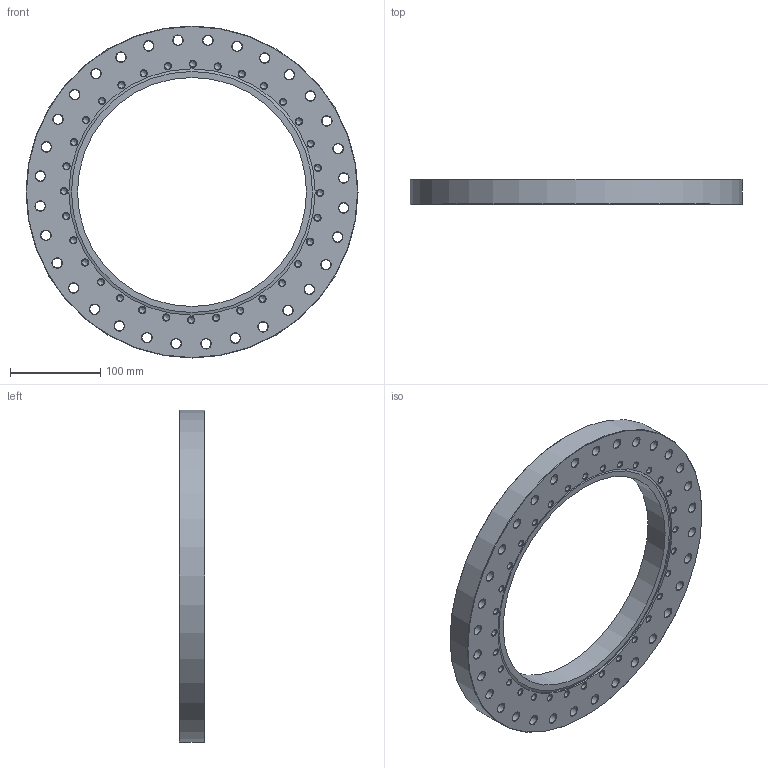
import cadquery as cq
import math

outer_diameter = 368.3
bore_diameter = 254.0
thickness = 28.0
front_y = -thickness / 2
edge_chamfer = 0.5

recess_diameter = 273.2
land_diameter = 267.3
recess_depth = 2.2
land_depth = 1.2

hole_count = 32
hole_pitch = 360.0 / hole_count
hole_offset = -0.35

bolt_circle_diameter = 338.2
bolt_hole_diameter = 10.8
bolt_hole_chamfer = 0.4
tapped_circle_diameter = 284.2
tapped_hole_diameter = 6.8
tapped_hole_chamfer = 0.6
tapped_hole_depth = 16.0
drill_point_angle = 118.0


def ring_body():
    """Revolve the half section, drawn with radius along Z, about the Y axis."""
    bore_radius = bore_diameter / 2
    land_radius = land_diameter / 2
    recess_radius = recess_diameter / 2
    outer_radius = outer_diameter / 2
    back_y = front_y + thickness
    section = (
        cq.Workplane("YZ")
        .moveTo(front_y + land_depth, bore_radius)
        .lineTo(front_y + land_depth, land_radius)
        .lineTo(front_y + recess_depth, recess_radius)
        .lineTo(front_y, recess_radius)
        .lineTo(front_y, outer_radius - edge_chamfer)
        .lineTo(front_y + edge_chamfer, outer_radius)
        .lineTo(back_y - edge_chamfer, outer_radius)
        .lineTo(back_y, outer_radius - edge_chamfer)
        .lineTo(back_y, bore_radius)
        .close()
    )
    return section.revolve(360, (0, 0, 0), (1, 0, 0))


def hole_circle(tool, circle_diameter, start_angle):
    """Copies of a cutting tool, one at each hole centre on the front face plane."""
    radius = circle_diameter / 2
    copies = []
    for index in range(hole_count):
        angle = math.radians(start_angle + index * hole_pitch)
        centre = cq.Vector(radius * math.cos(angle), front_y, radius * math.sin(angle))
        copies.append(tool.translate(centre))
    return cq.Workplane(cq.Compound.makeCompound(copies))


def bolt_holes():
    """Through holes chamfered at both ends, half a pitch away from the tapped holes."""
    radius = bolt_hole_diameter / 2
    mouth_radius = radius + bolt_hole_chamfer
    profile = (
        cq.Workplane("XY")
        .lineTo(mouth_radius, 0)
        .lineTo(radius, bolt_hole_chamfer)
        .lineTo(radius, thickness - bolt_hole_chamfer)
        .lineTo(mouth_radius, thickness)
        .lineTo(0, thickness)
        .close()
    )
    tool = profile.revolve(360, (0, 0, 0), (0, 1, 0)).val()
    return hole_circle(tool, bolt_circle_diameter, hole_offset + hole_pitch / 2)


def tapped_holes():
    """Blind holes with a chamfered mouth and a conical drill point."""
    radius = tapped_hole_diameter / 2
    point_depth = radius / math.tan(math.radians(drill_point_angle / 2))
    profile = (
        cq.Workplane("XY")
        .lineTo(radius + tapped_hole_chamfer, 0)
        .lineTo(radius, tapped_hole_chamfer)
        .lineTo(radius, tapped_hole_depth)
        .lineTo(0, tapped_hole_depth + point_depth)
        .close()
    )
    tool = profile.revolve(360, (0, 0, 0), (0, 1, 0)).val()
    return hole_circle(tool, tapped_circle_diameter, hole_offset)


result = ring_body().cut(bolt_holes()).cut(tapped_holes())